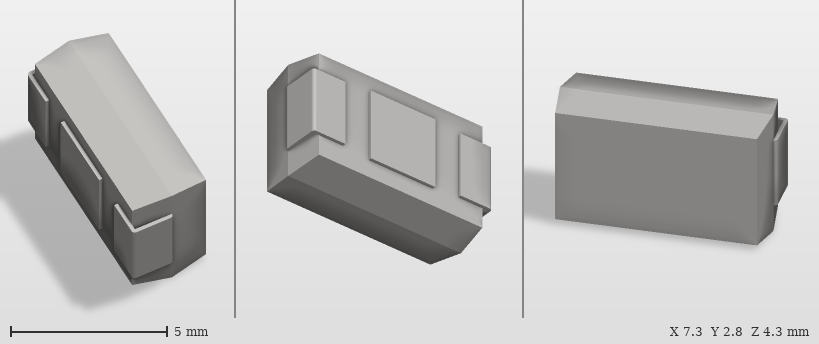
import cadquery as cq

overall_length = 7.3
body_length = 7.05
body_height = 4.3
half_depth = 1.335
draft_inset = 0.19

sheet_thickness = 0.13
terminal_height = 2.4
foot_length = 1.3
bend_radius = 0.12
pad_size = 2.62

mounting_face = -half_depth
underside = mounting_face - sheet_thickness


def make_body_half(direction):
    """Frustum from the parting plane to the smaller outer face at +Y or -Y."""
    parting_plane = cq.Plane(origin=(0, 0, 0), xDir=(1, 0, 0), normal=(0, direction, 0))
    return (
        cq.Workplane(parting_plane)
        .rect(body_length, body_height)
        .workplane(offset=half_depth)
        .rect(body_length - 2 * draft_inset, body_height - 2 * draft_inset)
        .loft(ruled=True)
    )


def make_body():
    """Body tapering away from the parting plane on both sides."""
    return make_body_half(1).union(make_body_half(-1))


def make_terminal(side, body):
    """L-shaped strip: wall from the parting plane along the body end, and foot under the body."""
    outer_x = overall_length / 2
    wall_x = outer_x - sheet_thickness
    foot_end_x = outer_x - foot_length
    profile = [
        (wall_x, 0),
        (outer_x, 0),
        (outer_x, underside),
        (foot_end_x, underside),
        (foot_end_x, mounting_face),
        (wall_x, mounting_face),
    ]
    strip = (
        cq.Workplane("XY")
        .polyline([(side * x, y) for x, y in profile])
        .close()
        .extrude(terminal_height / 2, both=True)
    )
    outer_side = ">X" if side > 0 else "<X"
    strip = strip.faces(outer_side).edges("|Z").fillet(bend_radius)
    return strip.cut(body)


def make_pad():
    """Square pad on the mounting face."""
    pad_centre_y = (mounting_face + underside) / 2
    return cq.Workplane("XY").box(pad_size, sheet_thickness, pad_size).translate((0, pad_centre_y, 0))


body = make_body()
pad = make_pad()
terminals = [make_terminal(side, body) for side in (-1, 1)]

result = cq.Compound.makeCompound(
    [body.solids().val(), pad.val(), *[terminal.solids().val() for terminal in terminals]]
)